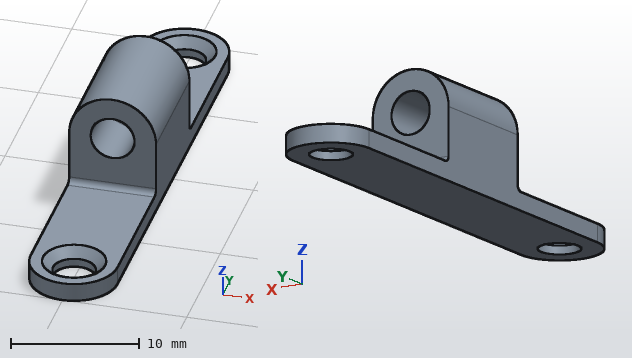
import cadquery as cq

length = 40.0
width = 7.0
plate_thickness = 1.5
end_radius = width / 2

block_length = 10.0
axis_height = 6.0
pivot_diameter = 3.5
root_fillet = 0.5

screw_spacing = length - width
screw_diameter = 3.4
countersink_diameter = 5.0
countersink_depth = (countersink_diameter - screw_diameter) / 2


def make_plate():
    """Slot-shaped base plate lying on the XY plane, long along Y."""
    return cq.Workplane("XY").slot2D(length, width, 90).extrude(plate_thickness)


def make_pivot_block():
    """Upright block with a half-round top, centred along Y."""
    return (
        cq.Workplane("XZ")
        .moveTo(-end_radius, 0)
        .lineTo(end_radius, 0)
        .lineTo(end_radius, axis_height)
        .threePointArc((0, axis_height + end_radius), (-end_radius, axis_height))
        .close()
        .extrude(block_length / 2, both=True)
    )


def make_pivot_bore():
    """Cylinder along Y through the whole pivot block."""
    return (
        cq.Workplane("XZ")
        .center(0, axis_height)
        .circle(pivot_diameter / 2)
        .extrude(block_length, both=True)
    )


def make_screw_cutter():
    """Through hole with a conical countersink at the plate's top face."""
    hole_radius = screw_diameter / 2
    return (
        cq.Workplane("XZ")
        .moveTo(0, 0)
        .lineTo(hole_radius, 0)
        .lineTo(hole_radius, plate_thickness - countersink_depth)
        .lineTo(countersink_diameter / 2, plate_thickness)
        .lineTo(0, plate_thickness)
        .close()
        .revolve(360, (0, 0, 0), (0, 1, 0))
    )


body = make_plate().union(make_pivot_block())

half_block = block_length / 2
root_corners = cq.selectors.BoxSelector(
    (-width, -half_block - root_fillet, plate_thickness - root_fillet),
    (width, half_block + root_fillet, plate_thickness + root_fillet),
)
body = body.edges("|X").edges(root_corners).fillet(root_fillet)

body = body.cut(make_pivot_bore())

for side in (-1, 1):
    body = body.cut(make_screw_cutter().translate((0, side * screw_spacing / 2, 0)))

result = body